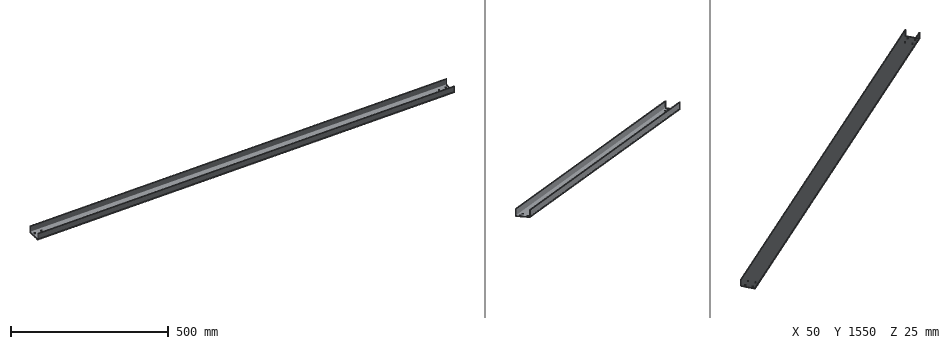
import cadquery as cq

channel_width = 50.0
channel_length = 1550.0
channel_height = 25.0

sheet_thickness = 2.5
inner_bend_radius = sheet_thickness / 2
outer_bend_radius = inner_bend_radius + sheet_thickness

hole_diameter = 4.2
hole_spacing_x = 25.0
hole_end_distances = (10.0, 35.0)


def make_channel():
    """U-channel open at the top, running along Y with rounded lower bends."""
    outer = (
        cq.Workplane("XY")
        .box(channel_width, channel_length, channel_height, centered=(True, True, False))
        .edges("|Y and <Z")
        .fillet(outer_bend_radius)
    )
    inner = (
        cq.Workplane("XY")
        .workplane(offset=sheet_thickness)
        .box(
            channel_width - 2 * sheet_thickness,
            channel_length,
            channel_height,
            centered=(True, True, False),
        )
        .edges("|Y and <Z")
        .fillet(inner_bend_radius)
    )
    return outer.cut(inner)


def make_floor_holes():
    """Cylinders for the hole pairs near each end of the floor."""
    points = []
    for end_distance in hole_end_distances:
        hole_y = channel_length / 2 - end_distance
        for side_x in (-1, 1):
            for side_y in (-1, 1):
                points.append((side_x * hole_spacing_x / 2, side_y * hole_y))
    return cq.Workplane("XY").pushPoints(points).circle(hole_diameter / 2).extrude(channel_height)


result = make_channel().cut(make_floor_holes())